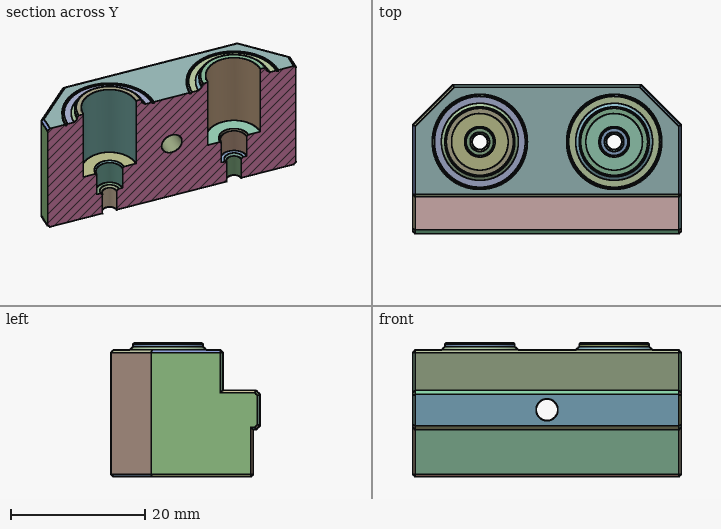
import cadquery as cq

length = 40.0
depth = 22.25
block_height = 18.9
overall_height = 20.0
edge_chamfer = 0.4
corner_bevel = 6.0

step_depth = 5.5
recess_depth = 1.0
rib_bottom = 7.0
rib_top = 12.9
rib_chamfer = 0.65

bushing_spacing = 20.0
bushing_to_back = 8.5
collar_diameter = 10.45
collar_bottom = 19.4
collar_chamfer = 0.25
cone_base_diameter = 11.5
flange_diameter = 14.0
flange_chamfer = 0.25
flange_seat_diameter = 14.2

bore_diameter = 8.45
bore_floor = 8.0
counterbore_diameter = 4.1
counterbore_floor = 4.0
counterbore_chamfer = 0.25
through_diameter = 2.3
through_chamfer = 0.3

cross_hole_diameter = 3.2

back_y = depth / 2
front_y = -depth / 2
bushing_y = back_y - bushing_to_back
flange_floor = block_height - flange_chamfer


def make_block():
    """Stepped bar with bevelled rear corners and chamfered outer edges."""
    recess_y = front_y + recess_depth
    step_y = front_y + step_depth
    side_profile = [
        (back_y, 0),
        (recess_y, 0),
        (recess_y, rib_bottom),
        (front_y + rib_chamfer, rib_bottom),
        (front_y, rib_bottom + rib_chamfer),
        (front_y, rib_top - rib_chamfer),
        (front_y + rib_chamfer, rib_top),
        (step_y, rib_top),
        (step_y, block_height),
        (back_y, block_height),
    ]
    block = cq.Workplane("YZ").polyline(side_profile).close().extrude(length / 2, both=True)
    block = block.edges("|Z and >Y").chamfer(corner_bevel)

    uprights = block.edges("|Z").vals()
    bevel_edges = [edge for edge in uprights if edge.Center().y > bushing_y]
    outline_edges = block.faces("<Z or >Z or <X or >X").edges().vals()
    chamfered_edges = [edge for edge in outline_edges if not any(edge.isSame(other) for other in bevel_edges)]
    return block.newObject(chamfered_edges).chamfer(edge_chamfer)


def revolve_profile(half_profile):
    """Turn a profile of (radius, height) points around the Z axis."""
    return cq.Workplane("XZ").polyline(half_profile).close().revolve(360, (0, 0), (0, 1))


def make_bushing():
    """Bevelled flange flush with the block top, rising through a cone to a collar around the axis."""
    flange_radius = flange_diameter / 2
    collar_radius = collar_diameter / 2
    half_profile = [
        (0, flange_floor),
        (flange_radius, flange_floor),
        (flange_radius - flange_chamfer, block_height),
        (cone_base_diameter / 2, block_height),
        (collar_radius, collar_bottom),
        (collar_radius, overall_height - collar_chamfer),
        (collar_radius - collar_chamfer, overall_height),
        (0, overall_height),
    ]
    return revolve_profile(half_profile)


def make_bore():
    """Wide blind bore, then a countersunk counterbore, then a countersunk through hole."""
    bore_radius = bore_diameter / 2
    counterbore_radius = counterbore_diameter / 2
    through_radius = through_diameter / 2
    half_profile = [
        (0, 0),
        (through_radius, 0),
        (through_radius, counterbore_floor - through_chamfer),
        (through_radius + through_chamfer, counterbore_floor),
        (counterbore_radius, counterbore_floor),
        (counterbore_radius, bore_floor - counterbore_chamfer),
        (counterbore_radius + counterbore_chamfer, bore_floor),
        (bore_radius, bore_floor),
        (bore_radius, overall_height),
        (0, overall_height),
    ]
    return revolve_profile(half_profile)


def make_flange_seat():
    """Round pocket as deep as the flange edge, slightly wider than the flange."""
    seat_floor = cq.Workplane("XY", origin=(0, 0, flange_floor))
    return seat_floor.circle(flange_seat_diameter / 2).extrude(flange_chamfer)


result = make_block()

for side in (-1, 1):
    position = (side * bushing_spacing / 2, bushing_y, 0)
    result = result.cut(make_flange_seat().translate(position))
    result = result.union(make_bushing().translate(position))
    result = result.cut(make_bore().translate(position))

cross_hole = (
    cq.Workplane("XZ", origin=(0, 0, overall_height / 2))
    .circle(cross_hole_diameter / 2)
    .extrude(depth, both=True)
)
result = result.cut(cross_hole)